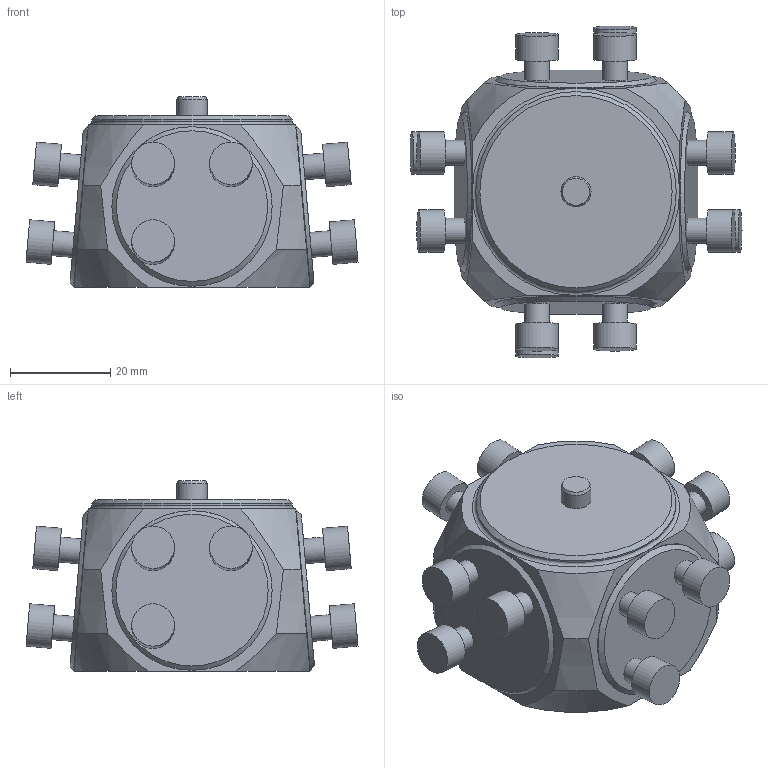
import cadquery as cq
import math

SIDE_TILT = 5.0
BODY_HEIGHT = 32.4
SIDE_CENTER_Z = 16.1
SIDE_CENTER_REACH = 22.13
WAIST_RADIUS = 28.4
WAIST_BOTTOM_Z = 7.55
WAIST_TOP_Z = 20.3
BASE_RADIUS = 25.1
SHOULDER_RADIUS = 22.9

LID_RADIUS = 20.0
LID_TOP_Z = 34.2
LID_CHAMFER = 0.8
LID_FOOT_FILLET = 0.7
PIN_RADIUS = 3.0
PIN_TOP_Z = 38.0
PIN_CHAMFER = 0.6
PIN_CHAMFER_WIDTH = 0.3

PAD_RADIUS = 16.0
PAD_THICKNESSES = (1.0, 0.9, 0.9, 0.9)
PAD_CHAMFER_LAND = 0.1

STUD_CIRCLE_RADIUS = 11.0
STUD_ANGLES = (45.0, 135.0, 225.0)
SHANK_RADIUS = 2.5
HEAD_SEAT_HEIGHT = 5.0
HEAD_RADIUS = 4.25
HEAD_LENGTH = 5.0


def make_body():
    """Leaning side faces intersected with a cone, cylinder, cone turning."""
    lean = math.tan(math.radians(SIDE_TILT))
    base_half_width = SIDE_CENTER_REACH + SIDE_CENTER_Z * lean
    frustum = cq.Workplane("XY").rect(2 * base_half_width, 2 * base_half_width).extrude(
        BODY_HEIGHT, taper=SIDE_TILT
    )
    turning = (
        cq.Workplane("XZ")
        .lineTo(BASE_RADIUS, 0)
        .lineTo(WAIST_RADIUS, WAIST_BOTTOM_Z)
        .lineTo(WAIST_RADIUS, WAIST_TOP_Z)
        .lineTo(SHOULDER_RADIUS, BODY_HEIGHT)
        .lineTo(0, BODY_HEIGHT)
        .close()
        .revolve(360, (0, 0, 0), (0, 1, 0))
    )
    return frustum.intersect(turning)


def make_lid():
    """Chamfered lid with a concave fillet at its foot and the pin on top."""
    arc_offset = LID_FOOT_FILLET * (1 - math.sqrt(0.5))
    return (
        cq.Workplane("XZ")
        .moveTo(0, BODY_HEIGHT)
        .lineTo(LID_RADIUS + LID_FOOT_FILLET, BODY_HEIGHT)
        .threePointArc(
            (LID_RADIUS + arc_offset, BODY_HEIGHT + arc_offset),
            (LID_RADIUS, BODY_HEIGHT + LID_FOOT_FILLET),
        )
        .lineTo(LID_RADIUS, LID_TOP_Z - LID_CHAMFER)
        .lineTo(LID_RADIUS - LID_CHAMFER, LID_TOP_Z)
        .lineTo(PIN_RADIUS, LID_TOP_Z)
        .lineTo(PIN_RADIUS, PIN_TOP_Z - PIN_CHAMFER)
        .lineTo(PIN_RADIUS - PIN_CHAMFER_WIDTH, PIN_TOP_Z)
        .lineTo(0, PIN_TOP_Z)
        .close()
        .revolve(360, (0, 0, 0), (0, 1, 0))
    )


def make_side(pad_thickness):
    """Pad and studs, placed on the -Y side face."""
    tilt = math.radians(SIDE_TILT)
    face = cq.Plane(
        origin=(0, -SIDE_CENTER_REACH, SIDE_CENTER_Z),
        xDir=(1, 0, 0),
        normal=(0, -math.cos(tilt), math.sin(tilt)),
    )
    stud_centers = [
        (
            STUD_CIRCLE_RADIUS * math.cos(math.radians(angle)),
            STUD_CIRCLE_RADIUS * math.sin(math.radians(angle)),
        )
        for angle in STUD_ANGLES
    ]
    pad = cq.Workplane(face).circle(PAD_RADIUS).extrude(pad_thickness)
    pad = pad.faces(cq.selectors.DirectionMinMaxSelector(face.zDir)).chamfer(
        pad_thickness - PAD_CHAMFER_LAND
    )
    shanks = cq.Workplane(face).pushPoints(stud_centers).circle(SHANK_RADIUS).extrude(HEAD_SEAT_HEIGHT)
    heads = (
        cq.Workplane(face)
        .workplane(offset=HEAD_SEAT_HEIGHT)
        .pushPoints(stud_centers)
        .circle(HEAD_RADIUS)
        .extrude(HEAD_LENGTH)
    )
    return pad.union(shanks).union(heads)


result = make_body().union(make_lid())
for index, thickness in enumerate(PAD_THICKNESSES):
    turn = index * 360.0 / len(PAD_THICKNESSES)
    side = make_side(thickness).rotate((0, 0, 0), (0, 0, 1), turn)
    result = result.union(side)